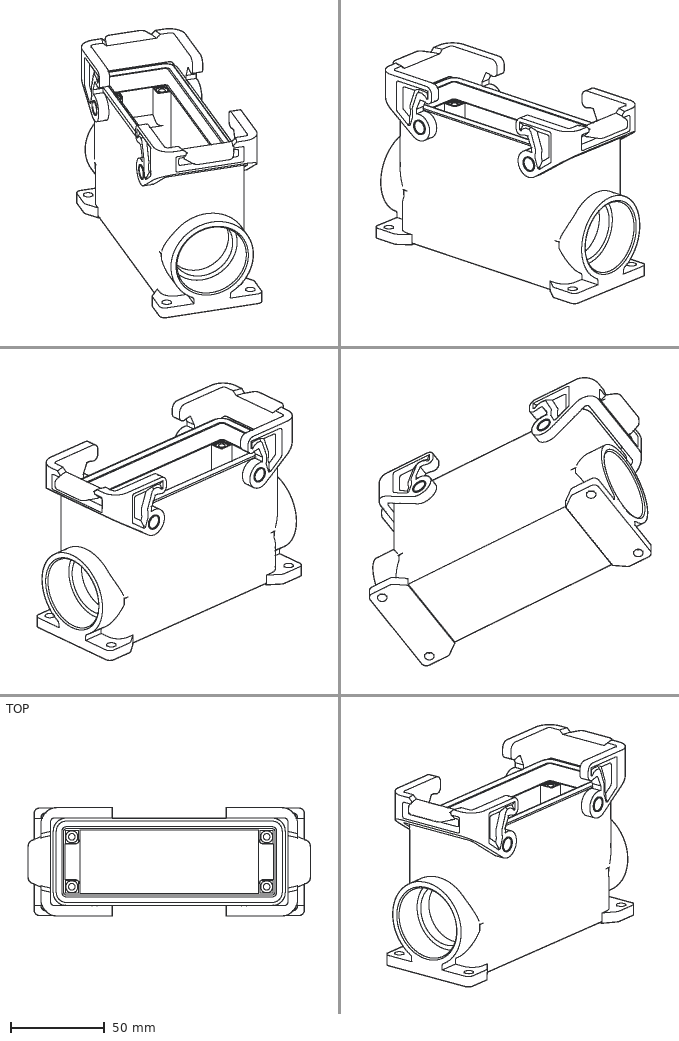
import cadquery as cq
import math


BODY_HALF_X = 61.8
BODY_HALF_Y = 23.3
BODY_BOTTOM = 1.0
BODY_TOP = 79.7
BODY_CORNER_R = 7.0
LOWER_SETBACK = 1.3
LOWER_CORNER_R = 7.4

BEAD_R = 1.5
BEAD_INSET = 3.1

CAVITY_HALF_X = 55.6
CAVITY_HALF_Y = 16.9
CAVITY_FLOOR = 4.0
CAVITY_CORNER_R = 1.0
MOUTH_STEP = 0.8
POST_TOP = 70.0

POST_INNER_X = 47.6
SEAT_DEPTH = 0.8
SEAT_SIZE = 6.1
SEAT_CORNER_R = 2.5
SEAT_LIP = 0.4
POST_INNER_Y = 9.4
POST_CORNER_R = 3.0
SCREW_X = 51.9
SCREW_Y = 13.3
SCREW_HOLE_R = 1.75
SCREW_HOLE_DEPTH = 15.0
LEDGE_OUTER_Z = 54.0
LEDGE_DROP = 3.6

ENTRY_Z = 30.0
ENTRY_END_X = 72.0
ENTRY_OUTER_R = 23.2
ENTRY_BORE_R = 19.5
ENTRY_MOUTH_R = 20.35
ENTRY_INNER_R = 17.0
ENTRY_BLIND_X = 48.6
WEB_HALF_Y = 10.3
WEB_FILLET_R = 1.6

FOOT_INNER_X = 49.6
FOOT_HALF_Y = 28.7
FOOT_HEIGHT = 5.9
FOOT_CORNER_R = 3.0
FOOT_TAPER_X = 56.6
FOOT_TAPER_R = 3.0
FOOT_HOLE_X = 65.8
FOOT_HOLE_Y = 23.5
FOOT_HOLE_R = 2.5

LEVER_TOP = 96.9
LEVER_END_X = 68.4
LEVER_END_INNER_X = 63.2
LEVER_HALF_Y = 29.0
LEVER_OUTER_R = 9.0
LEVER_INNER_R = 2.0
LEVER_END_BOTTOM = 83.2
NOSE_X = 30.3
NOSE_R = 4.0
NOSE_SIDE_BOTTOM_Z = 90.2
NOSE_TIP = (-34.0, 87.2)
HOOK_ROOF_X = (-36.5, -38.4)
HOOK_ROOF_Z = 87.9
HOOK_THROAT_X = -41.2
HOOK_THROAT_Z = (81.8, 79.0)
PIVOT_X = 39.2
PIVOT_Z = 71.9
PIVOT_R = 7.5
PIN_R = 3.6
PIN_GAP = 0.4
PIN_GAP_DEPTH = 0.5
POCKET_END_X = 55.4
POCKET_TOP_Z = 94.5
POCKET_TIP_Z = 71.1
POCKET_DEPTH = 1.7
POCKET_WALL_RUN = 3.0
POCKET_CORNER_R = 3.0
END_POCKET_CORNER_R = 1.5
POCKET_OUTLINE = [
    (-POCKET_END_X, POCKET_TOP_Z),
    (-32.7, POCKET_TOP_Z),
    (-32.7, 90.2),
    (-33.7, 89.6),
    (-35.1, 91.1),
    (-37.3, 92.1),
    (-39.6, 92.0),
    (-40.8, 90.9),
    (-44.2, 81.6),
    (-43.8, 76.8),
    (-45.7, 71.4),
    (-47.0, POCKET_TIP_Z),
    (-POCKET_END_X, 77.3),
]

TAB_TIP_X = 75.25
TAB_TOP = 94.9
TAB_BOTTOM = 90.4
TAB_ROUND = 0.8
TAB_SHOULDER_HALF_Y = 13.4
TAB_ROOT_HALF_Y = 14.6
TAB_TIP_HALF_Y = 10.6
TAB_TIP_R = 3.5
NOTCH_HALF_Y = 12.8
NOTCH_SIDE_SPREAD = 2.2
NOTCH_INWARD_SPREAD = 1.2
END_POCKET_HALF_Y = 19.2
END_POCKET_BOTTOM = 84.4
END_POCKET_TOP = 93.6
END_POCKET_DEPTH = 2.4
END_POCKET_TAPER = 45.0


def rounded_block(half_x, half_y, bottom, top, radius):
    """Upright block centred on Z with rounded vertical edges."""
    block = cq.Workplane("XY").workplane(offset=bottom).rect(2 * half_x, 2 * half_y)
    return block.extrude(top - bottom).edges("|Z").fillet(radius)


def rounded_rim(half_x, half_y, radius):
    """Rounded rectangle at the body top, starting at the middle of its -Y side."""
    rim = (
        cq.Workplane("XY", origin=(0, 0, BODY_TOP))
        .moveTo(0, -half_y)
        .lineTo(half_x - radius, -half_y)
        .tangentArcPoint((radius, radius))
        .lineTo(half_x, half_y - radius)
        .tangentArcPoint((-radius, radius))
        .lineTo(radius - half_x, half_y)
        .tangentArcPoint((-radius, -radius))
        .lineTo(-half_x, radius - half_y)
        .tangentArcPoint((radius, -radius))
        .close()
    )
    return rim.val()


def at_both_ends(shape):
    """The -X end shape together with its mirror image at +X."""
    return shape.union(shape.mirror("YZ"))


def on_both_sides(shape):
    """The -Y side shape together with its mirror image at +Y."""
    return shape.union(shape.mirror("XZ"))


def make_box():
    lower = rounded_block(BODY_HALF_X - LOWER_SETBACK, BODY_HALF_Y, BODY_BOTTOM, ENTRY_Z, LOWER_CORNER_R)
    upper = rounded_block(BODY_HALF_X, BODY_HALF_Y, ENTRY_Z, BODY_TOP, BODY_CORNER_R)
    return lower.union(upper)


def make_bead():
    """Half-round bead following the rim of the box."""
    half_x = BODY_HALF_X - BEAD_INSET
    half_y = BODY_HALF_Y - BEAD_INSET
    corner_r = BODY_CORNER_R - BEAD_INSET
    path = cq.Workplane(rounded_rim(half_x, half_y, corner_r))
    section = (
        cq.Workplane("YZ", origin=(0, -half_y, BODY_TOP))
        .moveTo(-BEAD_R, 0)
        .radiusArc((0, BEAD_R), BEAD_R)
        .radiusArc((BEAD_R, 0), BEAD_R)
        .close()
    )
    return section.sweep(path)


def make_cavity():
    lower = rounded_block(CAVITY_HALF_X, CAVITY_HALF_Y, CAVITY_FLOOR, BODY_TOP, CAVITY_CORNER_R)
    mouth = rounded_block(
        CAVITY_HALF_X + MOUTH_STEP,
        CAVITY_HALF_Y + MOUTH_STEP,
        POST_TOP,
        LEVER_TOP,
        CAVITY_CORNER_R + MOUTH_STEP,
    )
    return lower.union(mouth)


def make_ledge():
    """Block closing off the inner end of the -X entry, its top sloping down inward."""
    wall_x = -CAVITY_HALF_X - MOUTH_STEP
    profile = [
        (wall_x, BODY_BOTTOM),
        (wall_x, LEDGE_OUTER_Z),
        (-POST_INNER_X, LEDGE_OUTER_Z - LEDGE_DROP),
        (-POST_INNER_X, BODY_BOTTOM),
    ]
    half_y = CAVITY_HALF_Y + MOUTH_STEP
    return cq.Workplane("XZ").polyline(profile).close().extrude(half_y, both=True)


def make_post():
    """Screw post in the -X, -Y corner of the cavity."""
    size_x = CAVITY_HALF_X + MOUTH_STEP - POST_INNER_X
    size_y = CAVITY_HALF_Y + MOUTH_STEP - POST_INNER_Y
    post = (
        cq.Workplane("XY")
        .workplane(offset=BODY_BOTTOM)
        .center(-POST_INNER_X - size_x / 2, -POST_INNER_Y - size_y / 2)
        .rect(size_x, size_y)
        .extrude(POST_TOP - BODY_BOTTOM)
        .edges("|Z and >X and >Y")
        .fillet(POST_CORNER_R)
    )
    return post


def make_screw_holes():
    """Recessed seat and screw hole in the top of each post."""
    spots = [(sx * SCREW_X, sy * SCREW_Y) for sx in (-1, 1) for sy in (-1, 1)]
    tops = cq.Workplane("XY").workplane(offset=POST_TOP).pushPoints(spots)
    lip_size = SEAT_SIZE + 2 * SEAT_LIP
    lips = tops.rect(lip_size, lip_size).extrude(-SEAT_LIP)
    seats = tops.rect(SEAT_SIZE, SEAT_SIZE).extrude(-SEAT_DEPTH).edges("|Z").fillet(SEAT_CORNER_R)
    holes = tops.circle(SCREW_HOLE_R).extrude(-SCREW_HOLE_DEPTH)
    return lips.union(seats).union(holes)


def end_cylinder(radius, start_x, stop_x):
    """Cylinder on the entry axis between two distances from the YZ plane, at the -X end."""
    disc = cq.Workplane("YZ").workplane(offset=-start_x).center(0, ENTRY_Z).circle(radius)
    return disc.extrude(start_x - stop_x)


def make_entry():
    tube = end_cylinder(ENTRY_OUTER_R, ENTRY_END_X, CAVITY_HALF_X)
    web_length = ENTRY_END_X - CAVITY_HALF_X
    web = cq.Workplane("XY").box(web_length, 2 * WEB_HALF_Y, ENTRY_Z, centered=(False, True, False))
    entry = tube.union(web.translate((-ENTRY_END_X, 0, 0)))
    notch_z = ENTRY_Z - math.sqrt(ENTRY_OUTER_R**2 - WEB_HALF_Y**2)
    for side in (-1, 1):
        notch_mid = (-ENTRY_END_X + web_length / 2, side * WEB_HALF_Y, notch_z)
        entry = entry.edges(cq.selectors.NearestToPointSelector(notch_mid)).fillet(WEB_FILLET_R)
    return entry


def make_entry_bore():
    bore = end_cylinder(ENTRY_BORE_R, ENTRY_END_X, CAVITY_HALF_X)
    lead_in = ENTRY_MOUTH_R - ENTRY_BORE_R
    rim = cq.Workplane("YZ", origin=(-ENTRY_END_X, 0, ENTRY_Z)).circle(ENTRY_MOUTH_R)
    mouth = rim.workplane(offset=lead_in).circle(ENTRY_BORE_R).loft()
    return bore.union(mouth).union(end_cylinder(ENTRY_INNER_R, ENTRY_END_X, ENTRY_BLIND_X))


def make_foot():
    outline = [
        (-ENTRY_END_X, -FOOT_HALF_Y),
        (-FOOT_TAPER_X, -FOOT_HALF_Y),
        (-FOOT_INNER_X, -BODY_HALF_Y),
        (-FOOT_INNER_X, BODY_HALF_Y),
        (-FOOT_TAPER_X, FOOT_HALF_Y),
        (-ENTRY_END_X, FOOT_HALF_Y),
    ]
    foot = cq.Workplane("XY").polyline(outline).close().extrude(FOOT_HEIGHT)
    foot = foot.edges("|Z and <X").fillet(FOOT_CORNER_R)
    for side in (-1, 1):
        bend = (-FOOT_TAPER_X, side * FOOT_HALF_Y, FOOT_HEIGHT / 2)
        foot = foot.edges(cq.selectors.NearestToPointSelector(bend)).fillet(FOOT_TAPER_R)
    holes = cq.Workplane("XY").pushPoints([(-FOOT_HOLE_X, -FOOT_HOLE_Y), (-FOOT_HOLE_X, FOOT_HOLE_Y)])
    return foot.cut(holes.circle(FOOT_HOLE_R).extrude(FOOT_HEIGHT))


def lever_side_profile():
    """Side shape of the -X lever, extruded across the whole width."""
    dx = PIVOT_X - LEVER_END_X
    dz = PIVOT_Z - LEVER_END_BOTTOM
    reach = math.hypot(dx, dz)
    slope = math.atan2(dz, -dx) - math.asin(PIVOT_R / reach)
    tangent = (-PIVOT_X + PIVOT_R * math.sin(slope), PIVOT_Z - PIVOT_R * math.cos(slope))
    arm = (
        cq.Workplane("XZ")
        .moveTo(-LEVER_END_X, LEVER_END_BOTTOM)
        .lineTo(-LEVER_END_X, LEVER_TOP)
        .lineTo(-NOSE_X - NOSE_R, LEVER_TOP)
        .tangentArcPoint((NOSE_R, -NOSE_R))
        .lineTo(-NOSE_X, NOSE_SIDE_BOTTOM_Z)
        .tangentArcPoint(NOSE_TIP, relative=False)
        .lineTo(HOOK_ROOF_X[0], HOOK_ROOF_Z)
        .lineTo(HOOK_ROOF_X[1], HOOK_ROOF_Z)
        .lineTo(HOOK_THROAT_X, HOOK_THROAT_Z[0])
        .lineTo(HOOK_THROAT_X, HOOK_THROAT_Z[1])
        .lineTo(-PIVOT_X, PIVOT_Z)
        .lineTo(*tangent)
        .close()
        .extrude(LEVER_HALF_Y, both=True)
    )
    pivot = cq.Workplane("XZ").center(-PIVOT_X, PIVOT_Z).circle(PIVOT_R)
    return arm.union(pivot.extrude(LEVER_HALF_Y, both=True))


def make_side_pocket():
    """Tapered recess in the -Y face of the lever arm."""
    face = cq.Workplane("XZ", origin=(0, -LEVER_HALF_Y, 0)).polyline(POCKET_OUTLINE).close()
    pocket = face.extrude(-POCKET_DEPTH, taper=math.degrees(math.atan2(POCKET_WALL_RUN, POCKET_DEPTH)))
    end_corners = cq.selectors.BoxSelector(
        (-POCKET_END_X, -LEVER_HALF_Y, POCKET_TIP_Z),
        (-POCKET_END_X + 2 * POCKET_WALL_RUN, 0, POCKET_TOP_Z),
    )
    return pocket.edges("not #Y").edges(end_corners).fillet(POCKET_CORNER_R)


def make_end_pocket():
    """Tapered recess in the -X face of the lever, beneath the tab."""
    height = END_POCKET_TOP - END_POCKET_BOTTOM
    face = cq.Workplane("YZ", origin=(-LEVER_END_X, 0, END_POCKET_BOTTOM + height / 2))
    pocket = face.rect(2 * END_POCKET_HALF_Y, height).extrude(END_POCKET_DEPTH, taper=END_POCKET_TAPER)
    return pocket.edges("not #X").fillet(END_POCKET_CORNER_R)


def make_notch():
    """Notch that lowers the top of the lever to the tab, widening upward and inward."""

    def outline(half_width):
        top_half_width = half_width + NOTCH_SIDE_SPREAD
        return [
            (-half_width, TAB_TOP),
            (half_width, TAB_TOP),
            (top_half_width, LEVER_TOP),
            (-top_half_width, LEVER_TOP),
        ]

    outer = cq.Workplane("YZ", origin=(-LEVER_END_X, 0, 0)).polyline(outline(NOTCH_HALF_Y)).close()
    inner = outer.workplane(offset=LEVER_END_X - LEVER_END_INNER_X)
    inner = inner.polyline(outline(NOTCH_HALF_Y + NOTCH_INWARD_SPREAD)).close()
    return inner.loft(ruled=True)


def make_tab():
    outline = [
        (-LEVER_END_INNER_X, -TAB_ROOT_HALF_Y),
        (-LEVER_END_X, -TAB_SHOULDER_HALF_Y),
        (-TAB_TIP_X, -TAB_TIP_HALF_Y),
        (-TAB_TIP_X, TAB_TIP_HALF_Y),
        (-LEVER_END_X, TAB_SHOULDER_HALF_Y),
        (-LEVER_END_INNER_X, TAB_ROOT_HALF_Y),
    ]
    tab = cq.Workplane("XY").workplane(offset=TAB_BOTTOM).polyline(outline).close()
    tab = tab.extrude(TAB_TOP - TAB_BOTTOM).edges("|Z and <X").fillet(TAB_TIP_R)
    return tab.faces("<X").edges("<Z or >Z").fillet(TAB_ROUND)


def make_pin_gap():
    """Ring groove around the pivot pin in the -Y face of the lever."""
    face = cq.Workplane("XZ", origin=(-PIVOT_X, -LEVER_HALF_Y, PIVOT_Z))
    return face.circle(PIN_R + PIN_GAP).circle(PIN_R).extrude(-PIN_GAP_DEPTH)


def make_lever():
    plan = rounded_block(LEVER_END_X, LEVER_HALF_Y, 0, LEVER_TOP, LEVER_OUTER_R)
    plan = plan.cut(rounded_block(LEVER_END_INNER_X, BODY_HALF_Y, 0, LEVER_TOP, LEVER_INNER_R))
    lever = lever_side_profile().intersect(plan)
    lever = lever.cut(make_notch()).cut(make_end_pocket())
    lever = lever.cut(on_both_sides(make_side_pocket()))
    lever = lever.cut(on_both_sides(make_pin_gap()))
    return lever.union(make_tab())


housing = make_box().union(make_bead()).cut(make_cavity())
housing = housing.union(at_both_ends(make_ledge()))
housing = housing.union(at_both_ends(on_both_sides(make_post())))
housing = housing.cut(make_screw_holes())
housing = housing.union(at_both_ends(make_foot()))
housing = housing.union(at_both_ends(make_entry()))
housing = housing.cut(at_both_ends(make_entry_bore()))
result = housing.union(at_both_ends(make_lever()))